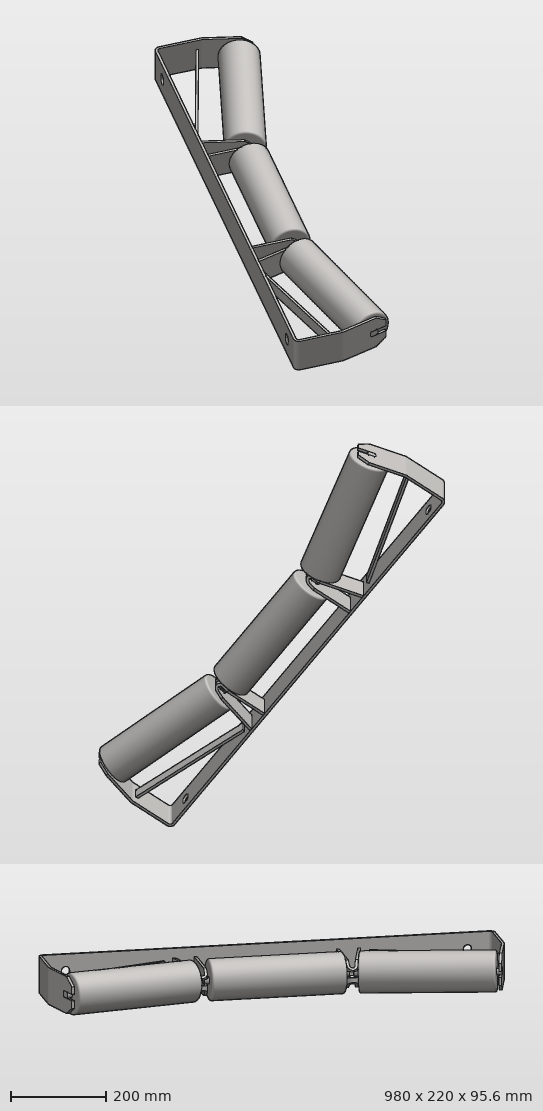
import cadquery as cq
import math


frame_length = 980.0
strip_thickness = 6.0
strip_height = 80.0
bend_radius = 9.0
side_height = 106.0
wing_angle = 15.0
wing_end_y = 210.0
end_chamfer_run = 24.0
end_chamfer_rise = 17.0
mount_slot_x = 432.0
mount_slot_width = 18.0
mount_slot_height = 26.0

bracket_face_x = 150.0
bracket_top_y = 123.0
bracket_height = 60.0

brace_foot_x = 221.0
brace_angle = 18.0
brace_height = 29.0

roller_diameter = 89.0
roller_length = 290.0
roller_edge_radius = 5.0
shaft_radius = 10.0
shaft_flats = 14.0
middle_roller_y = 100.0
side_shaft_y = 181.0
roller_drop = 7.0
slot_overrun = 15.0

lean = math.radians(wing_angle)
half_thickness = strip_thickness / 2
outer_x = frame_length / 2

arch_x = bracket_face_x + strip_thickness / 2 + bend_radius
arch_y = bracket_top_y - half_thickness - bend_radius
arch_outer_radius = bend_radius + half_thickness
wing_to_arch = (outer_x - arch_x) * math.cos(lean) + (arch_y - side_height) * math.sin(lean)
side_shaft_length = wing_to_arch - arch_outer_radius + strip_thickness
middle_shaft_length = 2 * (bracket_face_x + strip_thickness)
roller_tilt = math.degrees(math.asin(roller_drop / side_shaft_length))


def mirrored(body):
    return body.mirror("YZ")


def bent_strip(points, height):
    """Strip centred on Z = 0 whose middle line follows the points, with a round bend at each corner."""
    path_points = [cq.Vector(x, y, 0) for x, y in points]
    path = cq.Wire.makePolygon(path_points).fillet(bend_radius)
    start = cq.Plane(path_points[0], xDir=(0, 0, 1), normal=path_points[1] - path_points[0])
    return cq.Workplane(start).rect(height, strip_thickness).sweep(cq.Workplane(path))


def end_profile(end_y, height):
    """Side outline, extruded across the whole width, that cuts the corners of the strip ends."""
    half_height = height / 2
    return (
        cq.Workplane("YZ")
        .moveTo(0, -half_height)
        .lineTo(end_y - end_chamfer_run, -half_height)
        .lineTo(end_y, end_chamfer_rise - half_height)
        .lineTo(end_y, half_height - end_chamfer_rise)
        .lineTo(end_y - end_chamfer_run, half_height)
        .lineTo(0, half_height)
        .close()
        .extrude(outer_x, both=True)
    )


def place_left(body):
    """Move a body built along X at the origin onto the axis of the left roller."""
    half_shaft = side_shaft_length / 2
    wing_x = -outer_x + (side_shaft_y - side_height) * math.tan(lean)
    return (
        body.rotate((0, 0, 0), (0, 1, 0), roller_tilt)
        .rotate((0, 0, 0), (0, 0, 1), -wing_angle)
        .translate((
            wing_x + half_shaft * math.cos(lean),
            side_shaft_y - half_shaft * math.sin(lean),
            -roller_drop / 2,
        ))
    )


def place_middle(body):
    return body.translate((0, middle_roller_y, -roller_drop))


def shaft(length):
    """Round shaft along X with two flats, above and below."""
    flats = cq.Workplane("YZ").rect(2 * shaft_radius, shaft_flats).extrude(length / 2, both=True)
    return cq.Workplane("YZ").circle(shaft_radius).extrude(length / 2, both=True).intersect(flats)


def shaft_slot(shaft_length):
    """Cutter for the shaft and the open slot through which it drops in from +Y."""
    length = shaft_length + 2 * slot_overrun
    slot_depth = wing_end_y - middle_roller_y
    mouth = cq.Workplane("XY").box(length, slot_depth, shaft_flats, centered=(True, False, True))
    return shaft(length).union(mouth)


def roller(shaft_length):
    shell = (
        cq.Workplane(cq.Plane((-roller_length / 2, 0, 0), xDir=(0, 0, 1), normal=(1, 0, 0)))
        .circle(roller_diameter / 2)
        .extrude(roller_length)
        .edges("%CIRCLE")
        .fillet(roller_edge_radius)
    )
    return shell.union(shaft(shaft_length))


left_slot = place_left(shaft_slot(side_shaft_length))
middle_slot = place_middle(shaft_slot(middle_shaft_length))


def make_frame():
    side_x = outer_x - half_thickness
    bend_y = side_height - half_thickness * math.tan(lean / 2)
    wing_top_x = side_x - (wing_end_y - bend_y) * math.tan(lean)
    right_half = [(side_x, half_thickness), (side_x, bend_y), (wing_top_x, wing_end_y)]
    left_half = [(-x, y) for x, y in reversed(right_half)]
    mount_slots = (
        cq.Workplane("XZ")
        .pushPoints([(-mount_slot_x, 0), (mount_slot_x, 0)])
        .slot2D(mount_slot_height, mount_slot_width, 90)
        .extrude(-strip_thickness)
    )
    return (
        bent_strip(left_half + right_half, strip_height)
        .intersect(end_profile(wing_end_y, strip_height))
        .cut(mount_slots)
        .cut(left_slot)
        .cut(mirrored(left_slot))
    )


def make_left_bracket():
    """Strip folded over a round arch: one upright leg and one leg square to the side roller."""
    upright_x = -bracket_face_x - half_thickness
    fold_y = arch_y + bend_radius / math.tan(lean / 2)
    leaning_foot_x = upright_x - fold_y * math.tan(lean)
    above_base = (
        cq.Workplane("XY")
        .box(frame_length, frame_length, strip_height, centered=(True, False, True))
        .translate((0, strip_thickness, 0))
    )
    return (
        bent_strip([(leaning_foot_x, 0), (upright_x, fold_y), (upright_x, 0)], bracket_height)
        .intersect(above_base)
        .intersect(end_profile(bracket_top_y, bracket_height))
        .translate((0, 0, (bracket_height - strip_height) / 2))
        .cut(left_slot)
        .cut(middle_slot)
    )


def make_left_brace():
    """Flat bar from the inner face of the side down to the base, square at its foot."""
    slope = math.radians(brace_angle)
    side_x = -outer_x + strip_thickness
    foot_x = -brace_foot_x
    foot_y = strip_thickness
    tip_x = foot_x + strip_thickness * math.sin(slope)
    tip_y = foot_y + strip_thickness * math.cos(slope)
    return (
        cq.Workplane("XY")
        .moveTo(foot_x, foot_y)
        .lineTo(tip_x, tip_y)
        .lineTo(side_x, tip_y + (tip_x - side_x) * math.tan(slope))
        .lineTo(side_x, foot_y + (foot_x - side_x) * math.tan(slope))
        .close()
        .extrude(brace_height / 2, both=True)
    )


frame = make_frame()
left_bracket = make_left_bracket()
left_brace = make_left_brace()
left_roller = place_left(roller(side_shaft_length))
middle_roller = place_middle(roller(middle_shaft_length))

solids = [frame.val(), middle_roller.val()]
for left_body in (left_bracket, left_brace, left_roller):
    solids.append(left_body.val())
    solids.append(mirrored(left_body).val())

result = cq.Compound.makeCompound(solids)